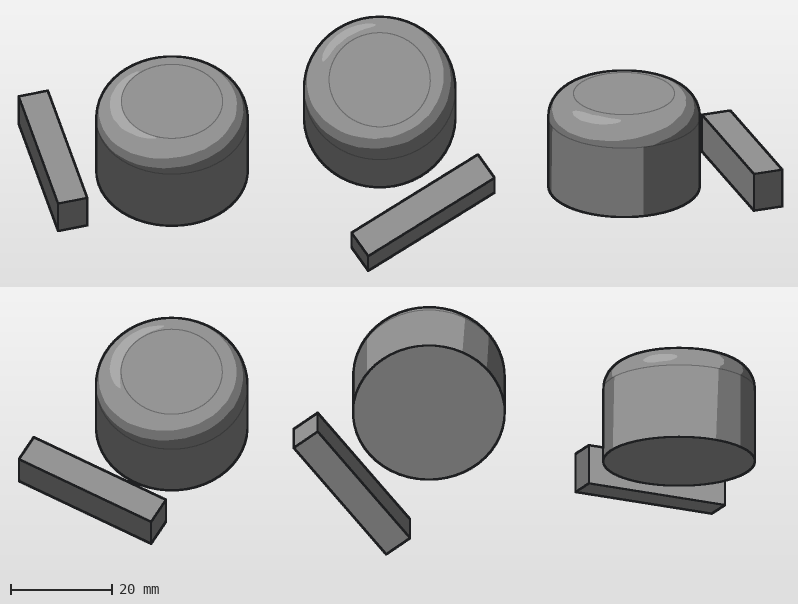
import cadquery as cq

knob_diameter = 30.0
knob_height = 20.0
knob_rounding = 5.0

bar_length = knob_diameter
bar_width = 6.0
bar_height = 8.0
bar_gap = 5.0
bar_shift = 5.0


def make_knob():
    """Solid cylinder with a large rounding around its top edge."""
    cylinder = cq.Workplane("XY").circle(knob_diameter / 2).extrude(knob_height)
    return cylinder.faces(">Z").edges().fillet(knob_rounding)


def make_bar():
    """Plain block lying along X, separate from the knob."""
    bar_center_y = -(knob_diameter / 2 + bar_gap + bar_width / 2)
    return (
        cq.Workplane("XY")
        .center(-bar_shift, bar_center_y)
        .rect(bar_length, bar_width)
        .extrude(bar_height)
    )


knob = make_knob()
bar = make_bar()

result = cq.Compound.makeCompound([knob.val(), bar.val()])